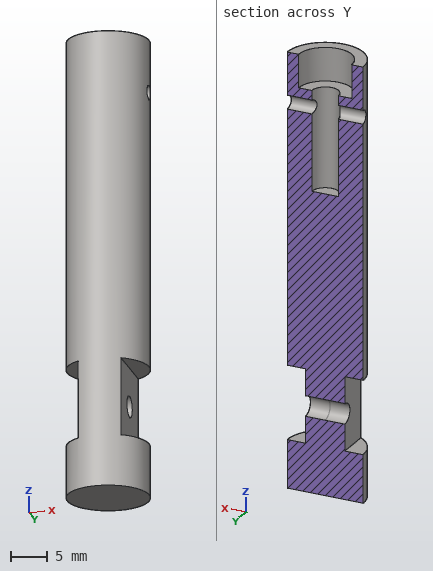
import cadquery as cq

body_diameter = 11.5
body_length = 65.0

bore_diameter = 8.0
bore_depth = 5.0
pilot_diameter = 4.0
pilot_depth = 20.0

pin_diameter = 2.0
pin_from_top = 7.5
pin_height = body_length - pin_from_top

flat_thickness = 6.0
flat_height = 11.0
flat_bottom = 7.3
flat_center = flat_bottom + flat_height / 2
flat_hole_diameter = 3.0


def blind_hole(diameter, depth):
    """Flat-bottomed hole on the Z axis, sunk from the top face."""
    floor = cq.Workplane("XY").workplane(offset=body_length - depth)
    return floor.circle(diameter / 2).extrude(depth)


def cross_hole(diameter, height):
    """Hole along X through the whole body at the given height."""
    section = cq.Workplane("YZ").center(0, height).circle(diameter / 2)
    return section.extrude(body_diameter / 2, both=True)


def flat_cut(side):
    """Block removed to leave the flat on the +X (side=1) or -X (side=-1) side."""
    cut_width = body_diameter / 2
    cut_center = side * (flat_thickness + cut_width) / 2
    block = cq.Workplane("XY").box(cut_width, body_diameter, flat_height)
    return block.translate((cut_center, 0, flat_center))


result = cq.Workplane("XY").circle(body_diameter / 2).extrude(body_length)

for side in (-1, 1):
    result = result.cut(flat_cut(side))

result = result.cut(blind_hole(bore_diameter, bore_depth))
result = result.cut(blind_hole(pilot_diameter, pilot_depth))
result = result.cut(cross_hole(pin_diameter, pin_height))
result = result.cut(cross_hole(flat_hole_diameter, flat_center))